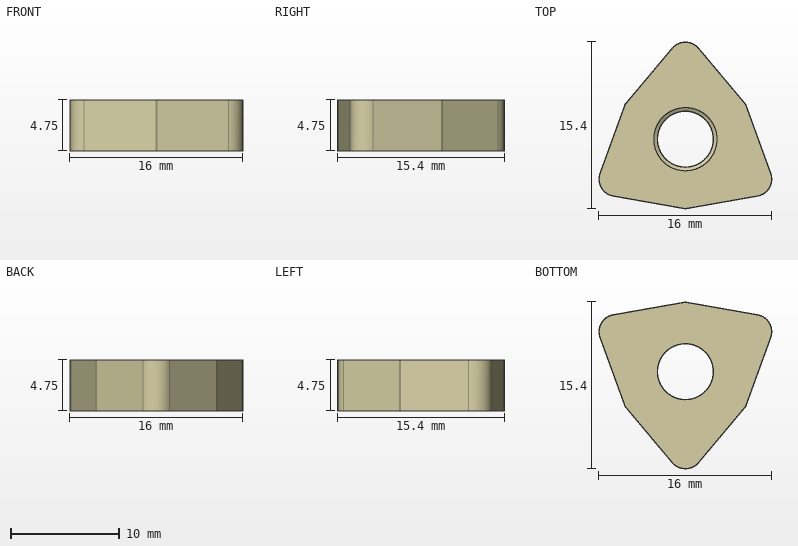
import cadquery as cq
import math

overall_width = 16.0
thickness = 4.75
nose_radius = 1.6
blunt_corner_radius = 0.25
nose_angle = 80.0
nose_count = 3
hole_diameter = 5.15
countersink_diameter = 5.85
countersink_depth = 0.2

pitch_angle = 360.0 / nose_count
half_nose = math.radians(nose_angle / 2)
half_pitch = math.radians(pitch_angle / 2)

nose_center_distance = (overall_width / 2 - nose_radius) / math.sin(half_pitch)
nose_tip_distance = nose_center_distance + nose_radius / math.sin(half_nose)
inscribed_radius = nose_tip_distance * math.sin(half_nose)
blunt_corner_distance = inscribed_radius / math.sin(half_nose + half_pitch)


def polar(distance, angle):
    """Point at a distance from the hole axis, angle in degrees from +X."""
    return (distance * math.cos(math.radians(angle)), distance * math.sin(math.radians(angle)))


def distance_from_axis(edge):
    center = edge.Center()
    return math.hypot(center.x, center.y)


def make_body():
    corners = []
    for index in range(nose_count):
        nose_direction = 90 + index * pitch_angle
        corners.append(polar(nose_tip_distance, nose_direction))
        corners.append(polar(blunt_corner_distance, nose_direction + pitch_angle / 2))
    body = cq.Workplane("XY").polyline(corners).close().extrude(thickness)

    dividing_distance = (nose_tip_distance + blunt_corner_distance) / 2
    upright_edges = body.edges("|Z").vals()
    nose_edges = [edge for edge in upright_edges if distance_from_axis(edge) > dividing_distance]
    body = body.newObject(nose_edges).fillet(nose_radius)

    reach = blunt_corner_radius / 2
    upright_edges = body.edges("|Z").vals()
    blunt_edges = [
        edge for edge in upright_edges
        if abs(distance_from_axis(edge) - blunt_corner_distance) < reach
    ]
    return body.newObject(blunt_edges).fillet(blunt_corner_radius)


def cut_mounting_hole(body):
    """Through hole with a conical countersink at the top face."""
    hole = cq.Workplane("XY").circle(hole_diameter / 2).extrude(thickness)
    countersink = cq.Solid.makeCone(
        hole_diameter / 2,
        countersink_diameter / 2,
        countersink_depth,
        pnt=cq.Vector(0, 0, thickness - countersink_depth),
    )
    return body.cut(hole).cut(cq.Workplane(countersink))


result = cut_mounting_hole(make_body())